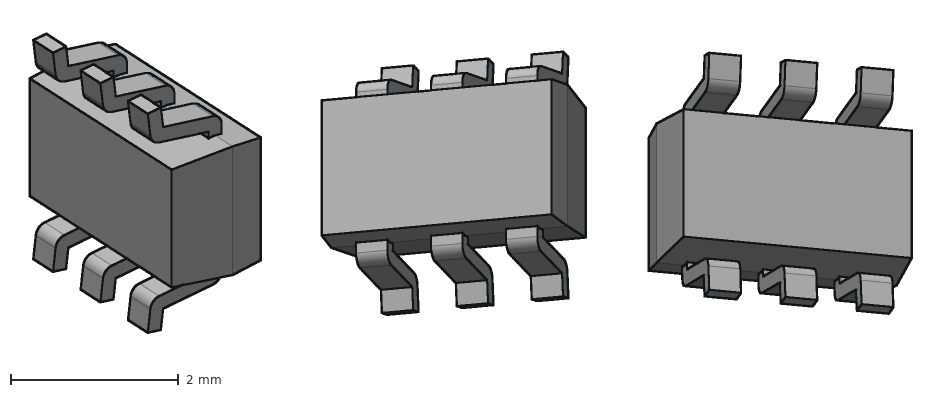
import cadquery as cq
import math

HOUSING_LENGTH = 3.0
HOUSING_HEIGHT = 1.745
BACK_DEPTH = 0.45
FRONT_DEPTH = 0.85
DRAFT_ANGLE = 5.0

LEAD_COUNT = 3
LEAD_PITCH = 0.95
LEAD_WIDTH = 0.4
LEAD_THICKNESS = 0.195
LEAD_TILT = 7.0
BEND_RADIUS = 0.15
SHOULDER_HEIGHT = 1.125
TIP_HEIGHT = 1.51
TOTAL_DEPTH = 1.45
TIP_Y = BACK_DEPTH - TOTAL_DEPTH


def make_housing_half(depth, direction):
    """Block growing from the parting plane along direction * Y, drafted on all four sides."""
    return (
        cq.Workplane(cq.Plane(origin=(0, 0, 0), xDir=(1, 0, 0), normal=(0, direction, 0)))
        .rect(HOUSING_LENGTH, HOUSING_HEIGHT)
        .extrude(depth, taper=DRAFT_ANGLE)
    )


def find_knee(shoulder, tip):
    """Corner where the arm edge from the shoulder meets the foot edge from the tip.

    The arm edge tilts up from -Y and the foot edge tilts forward from +Z, both by LEAD_TILT.
    """
    slope = math.tan(math.radians(LEAD_TILT))
    arm_y, arm_z = shoulder
    tip_y, tip_z = tip
    knee_z = (arm_z + slope * (arm_y - tip_y) - slope**2 * tip_z) / (1 - slope**2)
    knee_y = tip_y + slope * (tip_z - knee_z)
    return knee_y, knee_z


def make_lead(center_x):
    """One strip: straight through the housing, with an arm and a foot at each end."""
    tilt = math.radians(LEAD_TILT)
    half_thickness = LEAD_THICKNESS / 2
    inner_drop = LEAD_THICKNESS * (1 / math.cos(tilt) - math.tan(tilt))

    outer_shoulder = (half_thickness, SHOULDER_HEIGHT)
    inner_shoulder = (-half_thickness, SHOULDER_HEIGHT - inner_drop)
    upper_tip = (TIP_Y + LEAD_THICKNESS * math.cos(tilt), TIP_HEIGHT)
    lower_tip = (TIP_Y, TIP_HEIGHT - LEAD_THICKNESS * math.sin(tilt))
    inner_knee = find_knee(outer_shoulder, upper_tip)
    outer_knee = find_knee(inner_shoulder, lower_tip)

    upper_end = [outer_shoulder, inner_knee, upper_tip, lower_tip, outer_knee, inner_shoulder]
    lower_end = [(y, -z) for y, z in reversed(upper_end)]
    strip = (
        cq.Workplane("YZ", origin=(center_x, 0, 0))
        .polyline(upper_end + lower_end)
        .close()
        .extrude(LEAD_WIDTH / 2, both=True)
    )
    for y, z in (outer_shoulder, outer_knee):
        for side in (1, -1):
            corner = cq.selectors.NearestToPointSelector((center_x, y, side * z))
            strip = strip.edges("|X").edges(corner).fillet(BEND_RADIUS)
    return strip


first_lead_x = -LEAD_PITCH * (LEAD_COUNT - 1) / 2
leads = [make_lead(first_lead_x + i * LEAD_PITCH) for i in range(LEAD_COUNT)]

housing = make_housing_half(BACK_DEPTH, 1).union(make_housing_half(FRONT_DEPTH, -1))
for lead in leads:
    housing = housing.cut(lead)

result = cq.Compound.makeCompound([housing.solids().val(), *[lead.solids().val() for lead in leads]])